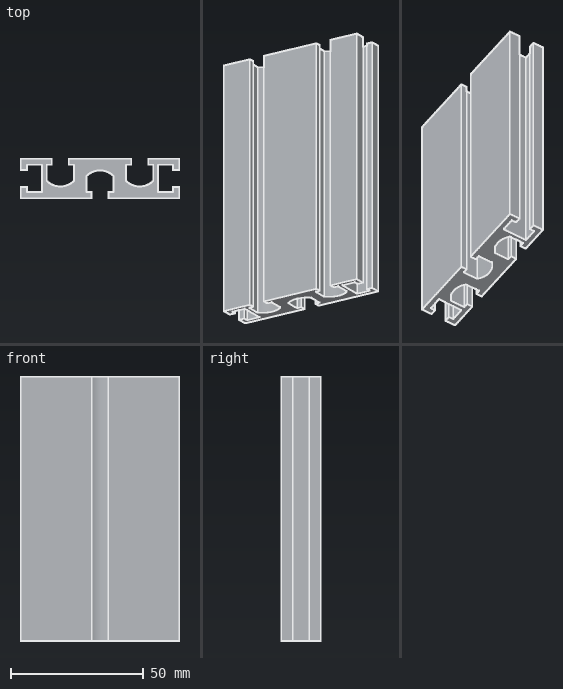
import cadquery as cq

WIDTH = 60.0
THICKNESS = 15.0
LENGTH = 100.0

MOUTH_WIDTH = 6.3
CHAMBER_WIDTH = 10.2
LIP_THICKNESS = (THICKNESS - CHAMBER_WIDTH) / 2
FACE_SLOT_WALL_DEPTH = 8.4
FACE_SLOT_DEPTH = 10.5
FACE_SLOT_PITCH = 15.0
EDGE_SLOT_DEPTH = 8.0


def t_slot(wall_depth, floor_depth):
    """T-slot cutter opening at Y = 0 and reaching toward -Y, with an arc floor if it lies below the walls."""
    half_mouth = MOUTH_WIDTH / 2
    half_chamber = CHAMBER_WIDTH / 2
    outline = (
        cq.Workplane("XY")
        .moveTo(half_mouth, 0)
        .lineTo(half_mouth, -LIP_THICKNESS)
        .lineTo(half_chamber, -LIP_THICKNESS)
        .lineTo(half_chamber, -wall_depth)
    )
    if floor_depth > wall_depth:
        outline = outline.threePointArc((0, -floor_depth), (-half_chamber, -wall_depth))
    else:
        outline = outline.lineTo(-half_chamber, -wall_depth)
    return (
        outline
        .lineTo(-half_chamber, -LIP_THICKNESS)
        .lineTo(-half_mouth, -LIP_THICKNESS)
        .lineTo(-half_mouth, 0)
        .close()
        .extrude(LENGTH)
    )


def turned(slot, angle):
    """Turn a slot cutter about the Z axis."""
    return slot.rotate((0, 0, 0), (0, 0, 1), angle)


face_slot = t_slot(FACE_SLOT_WALL_DEPTH, FACE_SLOT_DEPTH)
edge_slot = t_slot(EDGE_SLOT_DEPTH, EDGE_SLOT_DEPTH)

result = cq.Workplane("XY").box(WIDTH, THICKNESS, LENGTH, centered=(True, True, False))

for x in (-FACE_SLOT_PITCH, FACE_SLOT_PITCH):
    result = result.cut(face_slot.translate((x, THICKNESS / 2, 0)))
result = result.cut(turned(face_slot, 180).translate((0, -THICKNESS / 2, 0)))

result = result.cut(turned(edge_slot, 90).translate((-WIDTH / 2, 0, 0)))
result = result.cut(turned(edge_slot, -90).translate((WIDTH / 2, 0, 0)))